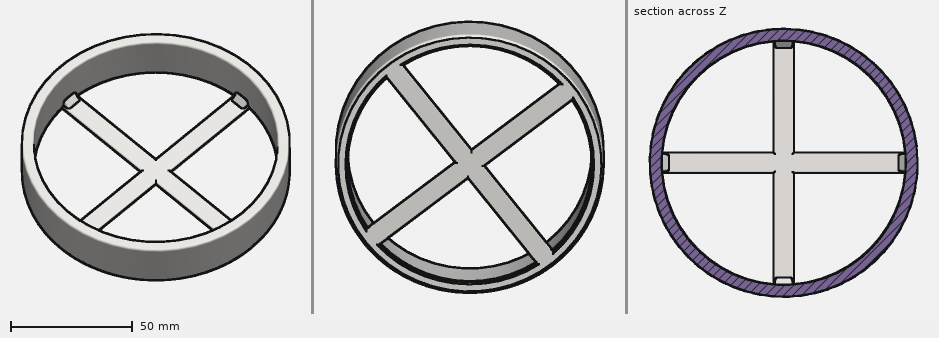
import cadquery as cq
outer_diameter = 110.0
inner_diameter = 100.0
height = 22.0
rim_fillet = 1.0
base_chamfer = 1.0
base_shoulder_fillet = 1.0

arm_width = 8.5
arm_thickness = 2.0
arm_fillet = 0.7

gusset_width = arm_width - 2 * arm_fillet
gusset_reach = 3.0
gusset_height = 3.0
gusset_fillet = 1.0
gusset_count = 4

outer_radius = outer_diameter / 2
inner_radius = inner_diameter / 2
embed_radius = (outer_radius + inner_radius) / 2


def make_ring():
    """Plain ring with a rounded top rim and a softened chamfer around the base."""
    ring = cq.Workplane("XY").circle(outer_radius).circle(inner_radius).extrude(height)
    ring = ring.faces("<Z").edges().chamfer(base_chamfer)
    ring = ring.edges("%CIRCLE").edges(">>Z[1]").fillet(base_shoulder_fillet)
    return ring.faces(">Z").edges().fillet(rim_fillet)


def make_cross():
    """Two flat arms crossing at the ring axis, with rounded long edges."""
    arm_length = 2 * embed_radius
    along_x = cq.Workplane("XY").box(arm_length, arm_width, arm_thickness, centered=(True, True, False))
    along_y = along_x.rotate((0, 0, 0), (0, 0, 1), 90)
    return along_x.union(along_y).faces(">Z or <Z").edges().fillet(arm_fillet)


def make_gusset():
    """Wedge on the +X arm, rising from the arm's top face to the ring's inner wall."""
    toe = inner_radius - gusset_reach
    top = arm_thickness + gusset_height
    profile = [
        (toe, arm_thickness),
        (inner_radius, top),
        (embed_radius, top),
        (embed_radius, arm_thickness),
    ]
    wedge = cq.Workplane("XZ").polyline(profile).close().extrude(gusset_width / 2, both=True)
    return wedge.faces("<X").edges("not |Y").fillet(gusset_fillet)


result = make_ring().union(make_cross())
gusset = make_gusset()
for index in range(gusset_count):
    result = result.union(gusset.rotate((0, 0, 0), (0, 0, 1), 360 / gusset_count * index))